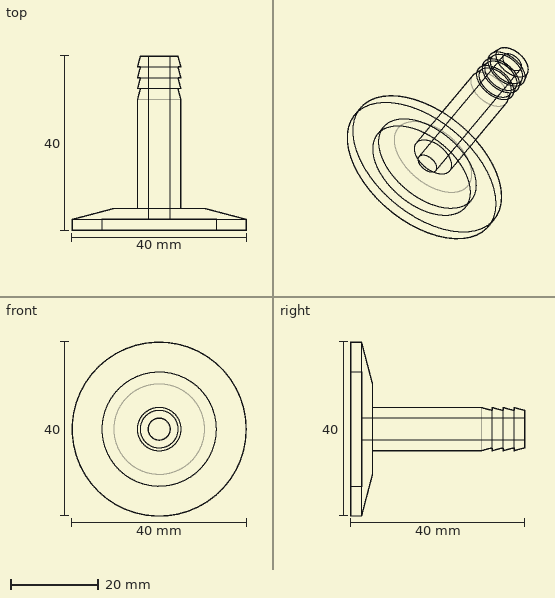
import cadquery as cq
import math

flange_diameter = 40.0
total_length = 40.0

flange_thickness = 5.05
rim_thickness = flange_thickness / 2
cone_top_diameter = 20.8
recess_diameter = 26.25
recess_depth = 2.6

stem_diameter = 10.0
bore_diameter = 5.0
barb_count = 4
barbed_length = 10.0
barb_taper_angle = 15.0

flange_radius = flange_diameter / 2
stem_radius = stem_diameter / 2
barb_pitch = barbed_length / barb_count
barb_root_radius = stem_radius - barb_pitch * math.tan(math.radians(barb_taper_angle))
barbs_start = total_length - barbed_length


def outer_profile():
    """Half section of the solid body: X is the radius, Y runs along the axis."""
    points = [
        (0, 0),
        (flange_radius, 0),
        (flange_radius, rim_thickness),
        (cone_top_diameter / 2, flange_thickness),
        (stem_radius, flange_thickness),
    ]
    for i in range(barb_count):
        barb_base = barbs_start + i * barb_pitch
        points.append((stem_radius, barb_base))
        points.append((barb_root_radius, barb_base + barb_pitch))
    points.append((0, total_length))
    return points


def axial_cylinder(diameter, length):
    """Cylinder running along +Y from the flange face."""
    return cq.Workplane("XZ").circle(diameter / 2).extrude(-length)


body = cq.Workplane("XY").polyline(outer_profile()).close().revolve(360, (0, 0, 0), (0, 1, 0))

recess = axial_cylinder(recess_diameter, recess_depth)
bore = axial_cylinder(bore_diameter, total_length)

result = body.cut(recess).cut(bore)